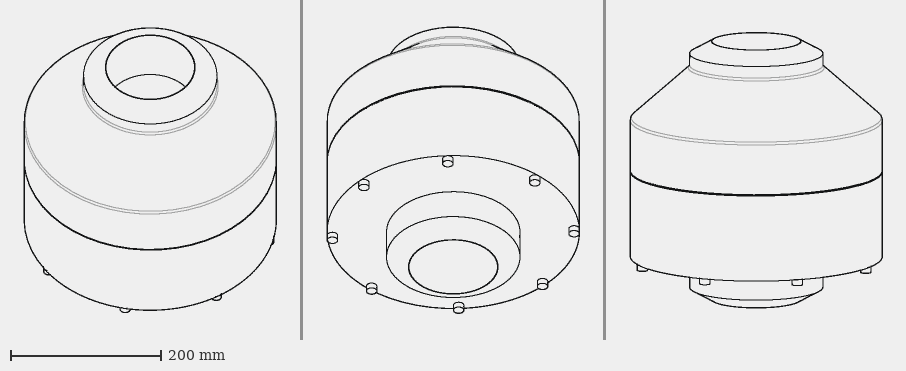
import cadquery as cq

total_height = 350.0
body_bottom = 58.0
groove_height = 174.3
shoulder_height = 245.0
neck_base_height = 315.7

body_radius = 336.0 / 2
groove_radius = 330.0 / 2
pipe_radius = 177.8 / 2
bore_radius = 118.0 / 2

groove_width = 1.5
blend_radius = 5.0

clearance = 3.5

bevel_height = 16.5
lip_width = 0.7
lip_radius = bore_radius + lip_width

chamber_roof = 275.0
chamber_floor = 175.0
chamber_radius = 77.0

pin_count = 8
pin_radius = 14.0 / 2
pin_length = 8.0
pin_circle_radius = body_radius - pin_radius


def make_body():
    """Revolve the outer outline and round both ends of the cone."""
    outline = [
        (0, 0),
        (lip_radius, 0),
        (pipe_radius, bevel_height),
        (pipe_radius, body_bottom),
        (body_radius, body_bottom),
        (body_radius, shoulder_height),
        (pipe_radius, neck_base_height),
        (pipe_radius, total_height - bevel_height),
        (lip_radius, total_height),
        (0, total_height),
    ]
    body = cq.Workplane("XZ").polyline(outline).close().revolve(360, (0, 0), (0, 1))
    cone_ends = cq.selectors.BoxSelector(
        (-body_radius, -body_radius, shoulder_height - clearance),
        (body_radius, body_radius, neck_base_height + clearance),
    )
    return body.edges("%CIRCLE").edges(cone_ends).fillet(blend_radius)


def make_groove():
    """Ring that cuts the narrow seam around the body."""
    return (
        cq.Workplane("XY")
        .workplane(offset=groove_height - groove_width / 2)
        .circle(body_radius + clearance)
        .circle(groove_radius)
        .extrude(groove_width)
    )


def make_bore():
    """Through bore, widened inside by the tapered chamber."""
    outline = [
        (0, 0),
        (bore_radius, 0),
        (bore_radius, chamber_floor),
        (chamber_radius, chamber_roof),
        (bore_radius, chamber_roof),
        (bore_radius, total_height),
        (0, total_height),
    ]
    return cq.Workplane("XZ").polyline(outline).close().revolve(360, (0, 0), (0, 1))


def make_pins():
    """Pins hanging from the underside of the body, flush with its outer wall."""
    return (
        cq.Workplane("XY")
        .workplane(offset=body_bottom - pin_length)
        .polarArray(pin_circle_radius, 0, 360, pin_count)
        .circle(pin_radius)
        .extrude(pin_length)
    )


result = make_body().cut(make_groove()).cut(make_bore()).union(make_pins())